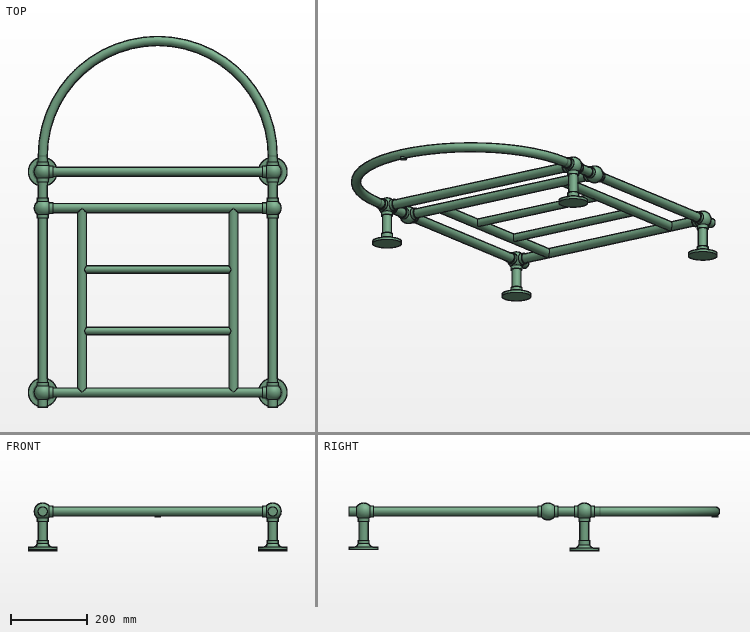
import cadquery as cq

length = 969.5
rail_spacing = 601.0
tube_dia = 24.0
axis_height = 103.0
upper_joint_y = 131.0
middle_joint_y = 36.0
lower_joint_y = -446.0

upright_x = 198.0
rung_dia = 20.0
bay_count = 3

ball_dia = 45.0
collar_dia = 29.0
collar_reach = 26.0

flange_dia = 76.0
flange_thickness = 7.0
flare_dia = 50.0
flare_height = 9.0
flare_hollow = 0.35
foot_collar_top = 27.0
upper_foot_height = 0.0
lower_foot_height = 3.0

vent_dia = 15.5
vent_drop = 3.0

rail_x = rail_spacing / 2
tube_radius = tube_dia / 2
rail_end_y = -length / 2
arch_centre_y = length / 2 - tube_radius - rail_x
apex_y = arch_centre_y + rail_x
bay_length = (middle_joint_y - lower_joint_y) / bay_count


def rod(start, direction, rod_length, diameter):
    """Solid round bar from a start point along a direction."""
    return cq.Workplane(cq.Solid.makeCylinder(
        diameter / 2, rod_length, cq.Vector(*start), cq.Vector(*direction)))


def rail_along_x(half_span, y, diameter):
    """Cross bar centred on X = 0."""
    return rod((-half_span, y, axis_height), (1, 0, 0), 2 * half_span, diameter)


def rail_along_y(x, y_start, y_end):
    return rod((x, y_start, axis_height), (0, 1, 0), y_end - y_start, tube_dia)


def arch():
    """Half ring joining the upper ends of the side rails."""
    path = (
        cq.Workplane("XY", origin=(0, arch_centre_y, axis_height))
        .moveTo(-rail_x, 0)
        .threePointArc((0, rail_x), (rail_x, 0))
    )
    section = cq.Workplane("XZ", origin=(-rail_x, arch_centre_y, axis_height)).circle(tube_radius)
    return section.sweep(path)


def ball_joint(x, y, collar_directions):
    """Ball with a collar in each of the given directions."""
    centre = (x, y, axis_height)
    joint = cq.Workplane(origin=centre).sphere(ball_dia / 2)
    for direction in collar_directions:
        joint = joint.union(rod(centre, direction, collar_reach, collar_dia))
    return joint


def wall_post(x, y, foot_height):
    """Post with a flared flange at its foot, turned about its own axis."""
    flange_top = foot_height + flange_thickness
    flare_top = flange_top + flare_height
    flare_width = (flare_dia - collar_dia) / 2
    flare_middle = (
        collar_dia / 2 + flare_hollow * flare_width,
        flange_top + flare_hollow * flare_height,
    )
    profile = (
        cq.Workplane("XZ", origin=(x, y, 0))
        .moveTo(0, foot_height)
        .lineTo(flange_dia / 2, foot_height)
        .lineTo(flange_dia / 2, flange_top)
        .lineTo(flare_dia / 2, flange_top)
        .threePointArc(flare_middle, (collar_dia / 2, flare_top))
        .lineTo(collar_dia / 2, foot_collar_top)
        .lineTo(tube_radius, foot_collar_top)
        .lineTo(tube_radius, axis_height)
        .lineTo(0, axis_height)
        .close()
    )
    return profile.revolve(360, (0, 0, 0), (0, 1, 0))


def air_vent():
    drop = tube_radius + vent_drop
    return rod((0, apex_y, axis_height), (0, 0, -1), drop, vent_dia)


result = arch().union(air_vent())

up_rail = (0, 1, 0)
down_rail = (0, -1, 0)
to_wall = (0, 0, -1)
for side in (-1, 1):
    x = side * rail_x
    inward = (-side, 0, 0)
    result = (
        result.union(rail_along_y(x, rail_end_y, arch_centre_y))
        .union(wall_post(x, upper_joint_y, upper_foot_height))
        .union(wall_post(x, lower_joint_y, lower_foot_height))
        .union(ball_joint(x, upper_joint_y, (up_rail, down_rail, inward, to_wall)))
        .union(ball_joint(x, middle_joint_y, (up_rail, down_rail, inward)))
        .union(ball_joint(x, lower_joint_y, (up_rail, inward, to_wall)))
    )

for y in (upper_joint_y, middle_joint_y, lower_joint_y):
    result = result.union(rail_along_x(rail_x, y, tube_dia))

for x in (-upright_x, upright_x):
    result = result.union(rail_along_y(x, lower_joint_y, middle_joint_y))
for bay in range(1, bay_count):
    result = result.union(rail_along_x(upright_x, lower_joint_y + bay * bay_length, rung_dia))